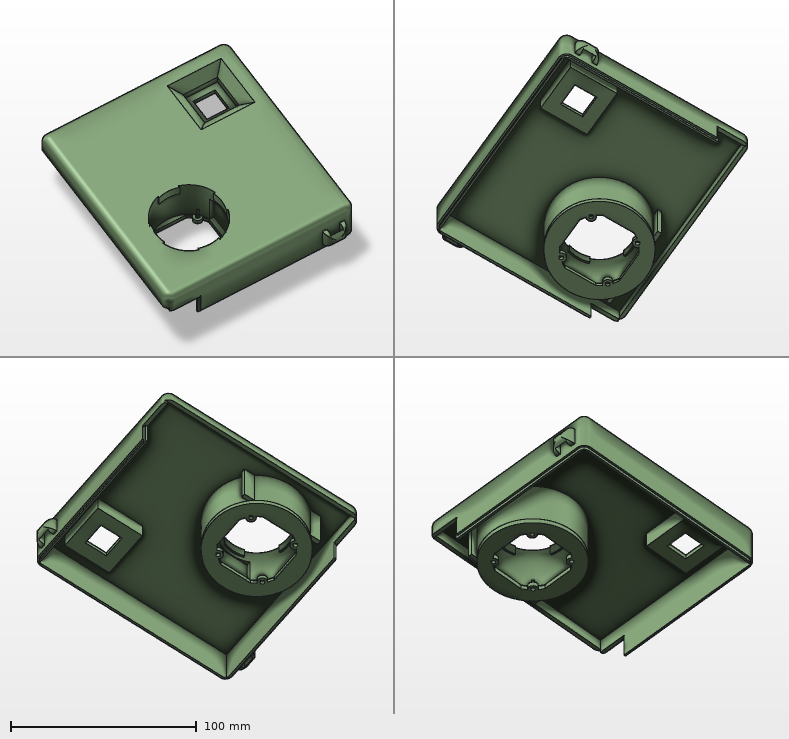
import cadquery as cq


total_length = 142.0
length = 130.1
width = 120.0
total_height = 30.5
wall = 2.3
lid_thickness = 3.0
edge_radius = 5.0
skirt_depth = 25.0
lip_depth = 27.0
lip_inset = 1.06

front_wall_depth = 10.0
side_wall_front_depth = 12.0
skirt_front_y = -38.2
lip_front_y = skirt_front_y - 1.4

loop_y = 46.0
loop_z = -15.2
loop_length = 13.9
loop_height = 10.8
loop_reach = (total_length - length) / 2
loop_bar = 2.0
loop_slot_length = 8.1

window_x = -38.0
window_y = 33.1
window_rim = 34.2
window_seat = 21.9
window_opening = 14.0
window_taper_depth = 5.5
window_seat_depth = 9.8
window_block_size = 29.8
window_block_depth = 12.8

socket_x = 24.8
socket_y = -20.6
socket_diameter = 60.0
bore_diameter = 43.7
plate_thickness = 3.0
socket_depth = total_height - plate_thickness
fin_span = 51.1
fin_front = 23.5
fin_thickness = 2.5
pad_width = 13.2
pad_depth = 6.1
pad_thickness = 1.06
cable_recess_width = 19.9
cable_recess_reach = 22.2
cable_recess_top = 9.4

plate_opening = 38.0
plate_opening_diameter = 42.9
boss_diameter = 5.7
screw_diameter = 2.4
screw_offset = 14.9
screw_top_depth = 22.6


def block(x_range, y_range, z_range):
    """Box between the given limits on each axis."""
    (x0, x1), (y0, y1), (z0, z1) = x_range, y_range, z_range
    return cq.Workplane("XY").box(x1 - x0, y1 - y0, z1 - z0, centered=False).translate((x0, y0, z0))


def plan_block(inset, top, bottom):
    """Upright block with the cover's rectangular outline moved inward by `inset`."""
    outline = cq.Workplane("XY", origin=(0, 0, bottom)).rect(length - 2 * inset, width - 2 * inset)
    return outline.extrude(top - bottom)


def socket_disc(diameter, top, bottom):
    """Upright cylinder on the socket axis."""
    plane = cq.Workplane("XY", origin=(socket_x, socket_y, bottom))
    return plane.circle(diameter / 2).extrude(top - bottom)


def screw_points(plane):
    """Plane with a point at each of the four screws."""
    return plane.rect(2 * screw_offset, 2 * screw_offset, forConstruction=True).vertices()


def screw_holes():
    plane = cq.Workplane("XY", origin=(socket_x, socket_y, -total_height))
    return screw_points(plane).circle(screw_diameter / 2).extrude(total_height - screw_top_depth)


def front_cut(back_y, top):
    """Space in front of `back_y` and below `top`, over the whole length."""
    return block((-length, length), (-width, back_y), (-total_height, top))


def make_shell():
    skirt = plan_block(0, 0, -skirt_depth).edges("|Z or >Z").fillet(edge_radius)
    skirt = skirt.cut(front_cut(skirt_front_y, -side_wall_front_depth))
    lip = plan_block(lip_inset, -edge_radius, -lip_depth)
    lip = lip.edges("|Z").fillet(edge_radius - lip_inset)
    lip = lip.cut(front_cut(lip_front_y, -side_wall_front_depth))
    shell = skirt.union(lip).cut(plan_block(wall, -lid_thickness, -total_height))
    return shell.cut(front_cut(-width / 2 + wall, -front_wall_depth))


def make_strap_loop(side):
    """Rounded loop on the left (side = -1) or right (side = 1) wall."""
    wall_x = length / 2
    root_x = wall_x - wall / 2
    tip_x = wall_x + loop_reach
    side_profile = (
        cq.Workplane("XZ", origin=(0, loop_y + loop_length / 2, loop_z))
        .moveTo(root_x, -loop_height / 2)
        .lineTo(wall_x, -loop_height / 2)
        .threePointArc((tip_x, 0), (wall_x, loop_height / 2))
        .lineTo(root_x, loop_height / 2)
        .close()
        .extrude(loop_length)
    )
    half = loop_length / 2
    z_range = (loop_z - loop_height / 2, loop_z + loop_height / 2)
    plan = block((root_x, tip_x), (loop_y - half, loop_y + half), z_range)
    plan = plan.edges("|Z and >X").fillet(loop_reach)
    slot_half = loop_slot_length / 2
    slot = block((wall_x, tip_x - loop_bar), (loop_y - slot_half, loop_y + slot_half), z_range)
    loop = side_profile.intersect(plan).cut(slot)
    return loop if side > 0 else loop.mirror("YZ")


def add_sensor_window(cover):
    """Block under the lid with a tapered pocket, a square seat and a through opening."""
    half = window_block_size / 2
    cover = cover.union(
        block(
            (window_x - half, window_x + half),
            (window_y - half, window_y + half),
            (-window_block_depth, -lid_thickness / 2),
        )
    )
    top = cq.Workplane("XY", origin=(window_x, window_y, 0))
    funnel = (
        top.rect(window_rim, window_rim)
        .workplane(offset=-window_taper_depth)
        .rect(window_seat, window_seat)
        .loft(ruled=True)
    )
    seat = top.rect(window_seat, window_seat).extrude(-window_seat_depth)
    opening = top.rect(window_opening, window_opening).extrude(-window_block_depth)
    return cover.cut(funnel).cut(seat).cut(opening)


def make_pads():
    """Four shallow pads on the bore wall, facing the axis."""
    ring = socket_disc(bore_diameter + pad_thickness, 0, -pad_depth)
    ring = ring.cut(socket_disc(bore_diameter - 2 * pad_thickness, 0, -pad_depth))
    center = cq.Workplane("XY", origin=(socket_x, socket_y, 0))
    bars = center.rect(socket_diameter, pad_width).extrude(-pad_depth)
    bars = bars.union(center.rect(pad_width, socket_diameter).extrude(-pad_depth))
    return ring.intersect(bars)


def add_socket(cover):
    """Round tube with outer fins, a bore with pads, a cable recess and blind screw holes."""
    tube = socket_disc(socket_diameter, -lid_thickness / 2, -socket_depth)
    fins = block(
        (socket_x - fin_span / 2, socket_x + fin_span / 2),
        (socket_y - fin_front, socket_y - fin_front + fin_thickness),
        (-socket_depth, -lid_thickness / 2),
    )
    cable_recess = block(
        (socket_x - cable_recess_width / 2, socket_x + cable_recess_width / 2),
        (socket_y, socket_y + cable_recess_reach),
        (-socket_depth, -cable_recess_top),
    )
    cover = cover.union(tube).union(fins).cut(cable_recess)
    cover = cover.cut(socket_disc(bore_diameter, 0, -socket_depth))
    return cover.union(make_pads()).cut(screw_holes())


def make_cover():
    cover = make_shell()
    for side in (-1, 1):
        cover = cover.union(make_strap_loop(side))
    return add_socket(add_sensor_window(cover))


def make_base_plate():
    """Round plate with a clipped square opening and a screw boss at each corner."""
    bottom = cq.Workplane("XY", origin=(socket_x, socket_y, -total_height))
    opening = bottom.rect(plate_opening, plate_opening).extrude(plate_thickness)
    opening = opening.intersect(socket_disc(plate_opening_diameter, -socket_depth, -total_height))
    bosses = screw_points(bottom).circle(boss_diameter / 2).extrude(plate_thickness)
    plate = socket_disc(socket_diameter, -socket_depth, -total_height)
    return plate.cut(opening).union(bosses).cut(screw_holes())


cover = make_cover()
base_plate = make_base_plate()
result = cq.Compound.makeCompound([*cover.solids().vals(), *base_plate.solids().vals()])